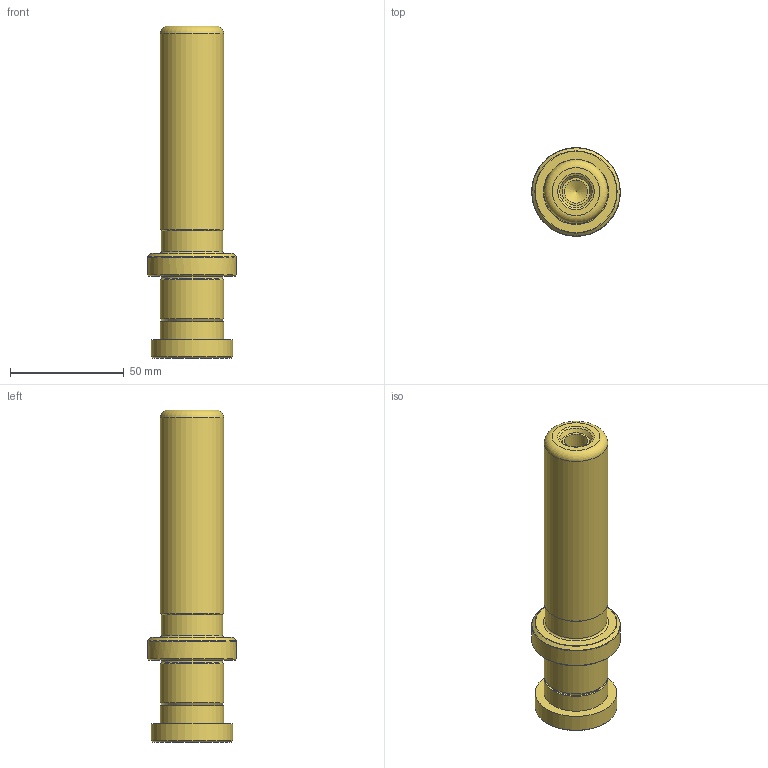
import cadquery as cq
import math

disc_radius = 18.0
disc_height = 8.0
disc_chamfer = 0.5
spigot_height = 8.0
cap_height = disc_height + spigot_height

total_height = 146.0
pillar_radius = 14.0
relief_radius = 13.5
relief_step = pillar_radius - relief_radius
tip_round_radius = 3.5

shank_length = 20.0
shank_lead_in_height = 1.25
shank_lead_in_width = 0.8

collar_radius = 19.5
collar_bottom = cap_height + shank_length
collar_height = 10.0
collar_top_chamfer = 1.5
collar_bottom_chamfer = 0.5
collar_edge_radius = 0.3
undercut_height = 1.0

neck_fillet = 0.8
neck_height = 10.0
collar_top = collar_bottom + collar_height
neck_top = collar_top + neck_height

bore_radius = 5.1
bore_depth = 30.0
drill_point_angle = 118.0
centre_seat_radius = 6.1
centre_cone_radius = 7.1
centre_mouth_radius = 8.0
centre_cone_angle = 60.0
centre_mouth_angle = 120.0


def cone_depth(large_radius, small_radius, included_angle):
    """Axial length of a cone between two radii."""
    return (large_radius - small_radius) / math.tan(math.radians(included_angle / 2))


def revolve_about_z(profile):
    """Revolve a closed half profile drawn in the XZ plane about Z."""
    return profile.revolve(360, (0, 0, 0), (0, 1, 0))


def make_retaining_cap():
    disc = cq.Workplane("XY").circle(disc_radius).extrude(disc_height)
    disc = disc.faces("<Z").edges().chamfer(disc_chamfer)
    return disc.faces(">Z").workplane().circle(pillar_radius).extrude(spigot_height)


def make_centre_hole():
    """Blind bore with a drill point and a two-stage conical mouth."""
    mouth_bottom = total_height - cone_depth(centre_mouth_radius, centre_cone_radius, centre_mouth_angle)
    seat_height = mouth_bottom - cone_depth(centre_cone_radius, centre_seat_radius, centre_cone_angle)
    bore_bottom = total_height - bore_depth
    point_bottom = bore_bottom - cone_depth(bore_radius, 0, drill_point_angle)
    profile = (
        cq.Workplane("XZ")
        .moveTo(0, point_bottom)
        .lineTo(bore_radius, bore_bottom)
        .lineTo(bore_radius, seat_height)
        .lineTo(centre_seat_radius, seat_height)
        .lineTo(centre_cone_radius, mouth_bottom)
        .lineTo(centre_mouth_radius, total_height)
        .lineTo(0, total_height)
        .close()
    )
    return revolve_about_z(profile)


def make_collar():
    collar = cq.Workplane("XY").workplane(offset=collar_bottom).circle(collar_radius).extrude(collar_height)
    collar = collar.faces("<Z").edges().chamfer(collar_bottom_chamfer)
    collar = collar.faces(">Z").edges().chamfer(collar_top_chamfer)
    collar_middle = collar_bottom + collar_height / 2
    top_half = cq.selectors.BoxSelector(
        (-collar_radius, -collar_radius, collar_middle),
        (collar_radius, collar_radius, collar_top + collar_edge_radius),
    )
    return collar.edges("%CIRCLE").edges(top_half).fillet(collar_edge_radius)


def make_pillar():
    undercut_bottom = collar_bottom - undercut_height
    arc_mid = math.sqrt(0.5)
    fillet_mid = neck_fillet * (1 - arc_mid)
    tip_base = total_height - tip_round_radius
    tip_flat_radius = pillar_radius - tip_round_radius
    profile = (
        cq.Workplane("XZ")
        .moveTo(0, cap_height)
        .lineTo(pillar_radius - shank_lead_in_width, cap_height)
        .lineTo(pillar_radius, cap_height + shank_lead_in_height)
        .lineTo(pillar_radius, undercut_bottom - relief_step)
        .lineTo(relief_radius, undercut_bottom)
        .lineTo(relief_radius, collar_bottom)
        .lineTo(relief_radius + neck_fillet, collar_bottom)
        .lineTo(relief_radius + neck_fillet, collar_top)
        .threePointArc(
            (relief_radius + fillet_mid, collar_top + fillet_mid),
            (relief_radius, collar_top + neck_fillet),
        )
        .lineTo(relief_radius, neck_top)
        .lineTo(pillar_radius, neck_top + relief_step)
        .lineTo(pillar_radius, tip_base)
        .threePointArc(
            (tip_flat_radius + tip_round_radius * arc_mid, tip_base + tip_round_radius * arc_mid),
            (tip_flat_radius, total_height),
        )
        .lineTo(0, total_height)
        .close()
    )
    return revolve_about_z(profile).union(make_collar()).cut(make_centre_hole())


retaining_cap = make_retaining_cap()
pillar = make_pillar()
result = cq.Compound.makeCompound([retaining_cap.val(), pillar.val()])